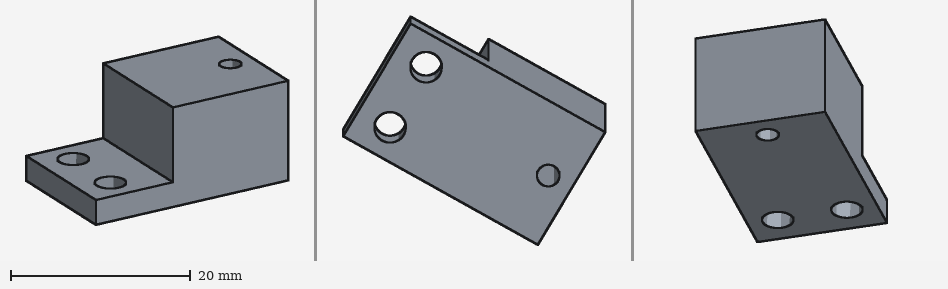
import cadquery as cq

width = 15.0
length = 25.0
height = 12.0

flange_length = 10.0
flange_thickness = 3.0

mount_hole_diameter = 3.5
mount_hole_spacing = 8.0
mount_hole_front_offset = 4.0

block_hole_diameter = 2.5
block_hole_back_offset = 3.0


def stepped_body():
    """L-shaped body, centred on X, with its front face at Y = 0 and its base at Z = 0."""
    return (
        cq.Workplane("YZ")
        .moveTo(0, 0)
        .lineTo(length, 0)
        .lineTo(length, height)
        .lineTo(flange_length, height)
        .lineTo(flange_length, flange_thickness)
        .lineTo(0, flange_thickness)
        .close()
        .extrude(width / 2, both=True)
    )


def vertical_hole(x, y, diameter):
    """Cutting cylinder that spans the full height of the part."""
    return cq.Workplane("XY").center(x, y).circle(diameter / 2).extrude(height)


result = stepped_body()

for side in (-1, 1):
    mount_hole_x = side * mount_hole_spacing / 2
    result = result.cut(vertical_hole(mount_hole_x, mount_hole_front_offset, mount_hole_diameter))

result = result.cut(vertical_hole(0, length - block_hole_back_offset, block_hole_diameter))